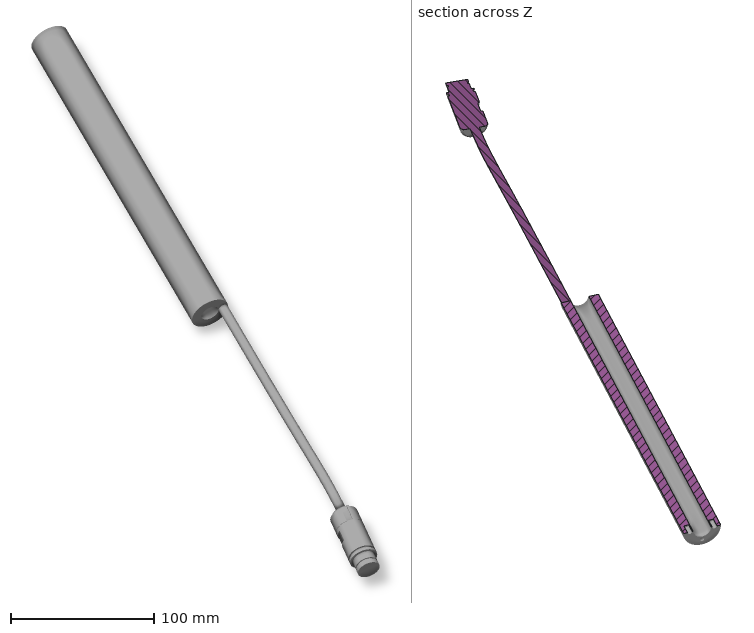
import cadquery as cq
import math

HOUSING_LENGTH = 260.5
HOUSING_DIAMETER = 28.0
BORE_DIAMETER = 13.0
SCREW_HOLE_DIAMETER = 3.3
SCREW_HOLE_DEPTH = 7.5
SCREW_CIRCLE_RADIUS = 9.0
SCREW_COUNT = 4

CABLE_DIAMETER = 7.0
CABLE_OFFSET = 10.0
CABLE_STRAIGHT_LENGTH = 20.0
CABLE_CREST = (390.5, 10.5)
CABLE_END = (455.0, 9.5)

PLUG_TILT = 5.0
PLUG_LENGTH = 52.0
PLUG_DIAMETER = 20.5
PLUG_REAR_CHAMFER = 2.0
NUT_LENGTH = 13.5
NUT_SEAM_WIDTH = 0.5
NUT_SEAM_DEPTH = 0.25
NUT_SLOT_WIDTH = 4.5
NUT_SLOT_DEPTH = 1.0
WINDOW_START = 16.5
WINDOW_LENGTH = 8.5
WINDOW_HEIGHT = 10.5
COLLAR_GROOVE_START = 38.0
COLLAR_GROOVE_WIDTH = 1.5
COLLAR_GROOVE_DIAMETER = 18.0
COLLAR_END = 41.5
TIP_DIAMETER = 16.0
TIP_GROOVE_START = 47.0
TIP_GROOVE_WIDTH = 1.0
TIP_GROOVE_DIAMETER = 14.0


def make_housing():
    housing = cq.Workplane("YZ").circle(HOUSING_DIAMETER / 2).extrude(HOUSING_LENGTH)
    bore = cq.Workplane("YZ").circle(BORE_DIAMETER / 2).extrude(HOUSING_LENGTH)
    screw_holes = (
        cq.Workplane("YZ")
        .polarArray(SCREW_CIRCLE_RADIUS, 0, 360, SCREW_COUNT)
        .circle(SCREW_HOLE_DIAMETER / 2)
        .extrude(SCREW_HOLE_DEPTH)
    )
    return housing.cut(bore).cut(screw_holes)


def make_cable():
    """Straight lead followed by a curve that ends along the plug axis."""
    straight_end = HOUSING_LENGTH + CABLE_STRAIGHT_LENGTH
    tilt = math.radians(PLUG_TILT)
    straight = (
        cq.Workplane("YZ", origin=(HOUSING_LENGTH, CABLE_OFFSET, 0))
        .circle(CABLE_DIAMETER / 2)
        .extrude(CABLE_STRAIGHT_LENGTH)
    )
    path = (
        cq.Workplane("XY")
        .moveTo(straight_end, CABLE_OFFSET)
        .spline(
            [CABLE_CREST, CABLE_END],
            tangents=[(1, 0), (math.cos(tilt), -math.sin(tilt))],
            includeCurrent=True,
        )
    )
    curved = (
        cq.Workplane("YZ", origin=(straight_end, CABLE_OFFSET, 0))
        .circle(CABLE_DIAMETER / 2)
        .sweep(path)
    )
    return straight.union(curved)


def ring_groove(start, width, outer_diameter, floor_diameter):
    """Ring to cut from the plug, which lies along X from the origin."""
    return (
        cq.Workplane("YZ", origin=(start, 0, 0))
        .circle(outer_diameter / 2)
        .circle(floor_diameter / 2)
        .extrude(width)
    )


def cut_nut_slots(plug):
    """Shallow keyways along the top and bottom of the rear nut."""
    for side in (1, -1):
        slot = cq.Workplane("XY").box(
            NUT_LENGTH, NUT_SLOT_WIDTH, 2 * NUT_SLOT_DEPTH, centered=(False, True, True)
        )
        plug = plug.cut(slot.translate((0, 0, side * PLUG_DIAMETER / 2)))
    return plug


def cut_window(plug):
    """Flat on the -Y side whose chord is the window height."""
    flat_distance = math.sqrt((PLUG_DIAMETER / 2) ** 2 - (WINDOW_HEIGHT / 2) ** 2)
    cutter = (
        cq.Workplane("XY")
        .box(WINDOW_LENGTH, PLUG_DIAMETER, PLUG_DIAMETER, centered=(False, False, True))
        .translate((WINDOW_START, -flat_distance - PLUG_DIAMETER, 0))
    )
    return plug.cut(cutter)


def make_plug():
    plug = cq.Workplane("YZ").circle(PLUG_DIAMETER / 2).extrude(COLLAR_END)
    plug = plug.faces("<X").chamfer(PLUG_REAR_CHAMFER)
    plug = plug.union(cq.Workplane("YZ").circle(TIP_DIAMETER / 2).extrude(PLUG_LENGTH))
    seam_floor = PLUG_DIAMETER - 2 * NUT_SEAM_DEPTH
    plug = plug.cut(ring_groove(NUT_LENGTH, NUT_SEAM_WIDTH, PLUG_DIAMETER, seam_floor))
    plug = plug.cut(
        ring_groove(COLLAR_GROOVE_START, COLLAR_GROOVE_WIDTH, PLUG_DIAMETER, COLLAR_GROOVE_DIAMETER)
    )
    plug = plug.cut(
        ring_groove(TIP_GROOVE_START, TIP_GROOVE_WIDTH, TIP_DIAMETER, TIP_GROOVE_DIAMETER)
    )
    plug = cut_window(cut_nut_slots(plug))
    plug = plug.rotate((0, 0, 0), (0, 0, 1), -PLUG_TILT)
    return plug.translate((*CABLE_END, 0))


housing = make_housing()
cable_with_plug = make_cable().union(make_plug())

result = cq.Compound.makeCompound([housing.val(), cable_with_plug.val()])